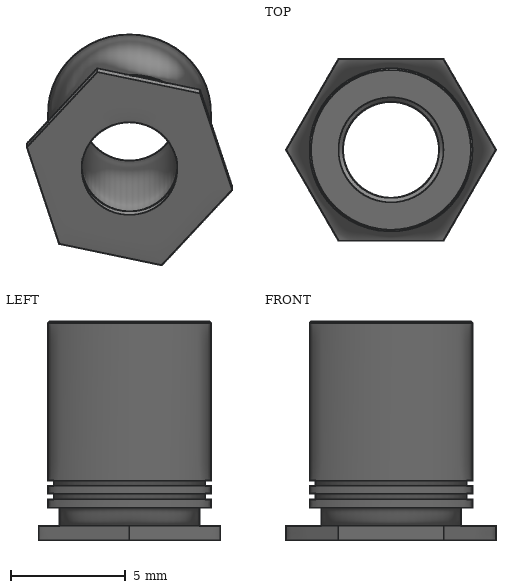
import cadquery as cq

across_flats = 7.92
head_height = 0.63
corner_ratio = 2 / 3 ** 0.5

total_height = 9.53
neck_diameter = 6.1
shank_diameter = 7.11
groove_diameter = 6.6
shank_chamfer = 0.08

shank_bottom = 1.41
grooves = [(1.78, 2.03), (2.37, 2.59)]

bore_diameter = 4.19
head_bore_diameter = 4.16
bore_mouth_diameter = 4.57


def cylinder(diameter, bottom, top):
    """Upright cylinder on the Z axis between two heights."""
    return cq.Workplane("XY").workplane(offset=bottom).circle(diameter / 2).extrude(top - bottom)


head = cq.Workplane("XY").polygon(6, across_flats * corner_ratio).extrude(head_height)

neck = cylinder(neck_diameter, head_height, shank_bottom)
shank = cylinder(shank_diameter, shank_bottom, total_height).faces(">Z").chamfer(shank_chamfer)

for bottom, top in grooves:
    ring = cylinder(shank_diameter, bottom, top).cut(cylinder(groove_diameter, bottom, top))
    shank = shank.cut(ring)

body = head.union(neck).union(shank)

body = body.cut(cylinder(head_bore_diameter, 0, head_height))
body = body.cut(cylinder(bore_diameter, head_height, total_height))

mouth_chamfer = (bore_mouth_diameter - bore_diameter) / 2
mouth_edge = cq.selectors.RadiusNthSelector(0)
result = body.faces(">Z").edges(mouth_edge).chamfer(mouth_chamfer)